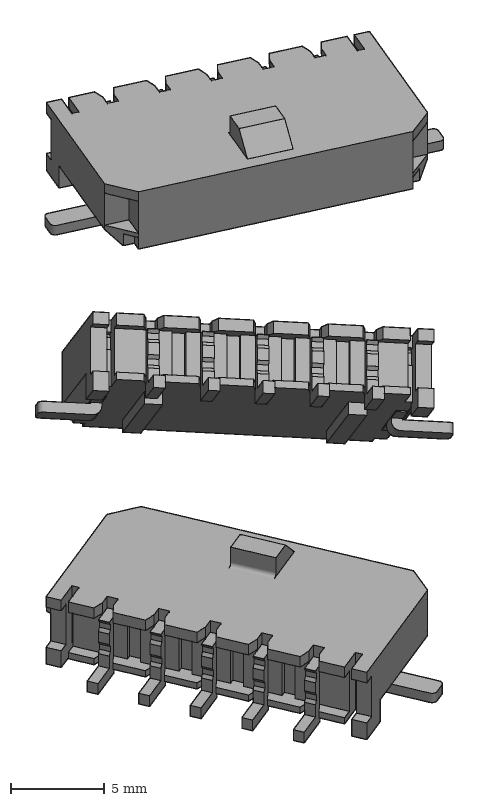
import cadquery as cq


overall_length_x = 11.35
rear_x = 1.5
front_x = overall_length_x
half_width = 9.3
bottom_z = 0.75
top_z = 4.45
corner_cut = 1.4
corner_x = front_x - corner_cut
corner_y = half_width - corner_cut

recess_floor_x = 2.15
lip_top_z = 1.15
roof_bottom_z = 3.75

foot_front_x = 3.35
foot_inner_y = 8.43
foot_bottom_z = 0.07
bevel = 0.75

side_step_bottom_z = 1.77
side_step_top_z = 3.83
lower_step_x = 10.74

slot_inner_y = 8.02
slot_end_x = 3.0
slot_step_z = 2.79
slot_step = 0.23

contact_count = 5
contact_pitch = 3.0
contact_width = 0.63
tail_height = 0.7
tail_end_x = 2.22
contact_rear_x = 1.56
contact_neck_x = 1.7
contact_front_x = 2.79
contact_top_z = 3.7
neck_top_zs = (3.47, 2.04)
neck_height = 0.35
neck_ramp = 0.2
notch_mouth_width = 1.09
notch_throat_x = 2.15

groove_width = 0.75
groove_depth = 0.32

latch_rear_x = 8.02
latch_crest_x = 9.33
latch_toe_x = 10.55
latch_width = 2.63
latch_top_z = 5.65
latch_root_radius = 0.23

rail_rear_x = 3.65
rail_front_x = 9.65
rail_inner_y = 5.07
rail_width = 1.0

nail_tip_y = 11.32
nail_rear_x = 6.14
nail_width = 1.27
nail_thickness = 0.61
nail_inner_y = 7.9
nail_bend_radius = 0.5
nail_tip_radius = 0.3
pad_rear_x = 4.8
pad_front_x = 8.75
pad_bottom_z = 0.68

ENDS = (-1, 1)


def box(x_range, y_range, z_range):
    """Block spanning three (start, end) ranges, given in any order."""
    lows = [min(r) for r in (x_range, y_range, z_range)]
    sizes = [abs(r[1] - r[0]) for r in (x_range, y_range, z_range)]
    return cq.Workplane("XY").box(*sizes, centered=False).translate(tuple(lows))


def side_profile(points, width, y_center):
    """Extrude an X-Z outline by a width centred on y_center."""
    outline = cq.Workplane("XZ", origin=(0, y_center, 0)).polyline(points).close()
    return outline.extrude(width / 2, both=True)


def end_range(end, inner_y, outer_y):
    return (end * inner_y, end * outer_y)


def housing_body():
    outline = [
        (rear_x, -half_width),
        (corner_x, -half_width),
        (front_x, -corner_y),
        (front_x, corner_y),
        (corner_x, half_width),
        (rear_x, half_width),
    ]
    body = cq.Workplane("XY").polyline(outline).close().extrude(top_z).cut(
        box((rear_x, front_x), (-half_width, half_width), (0, bottom_z))
    )
    recess = box(
        (rear_x, recess_floor_x), (-half_width, half_width), (lip_top_z, roof_bottom_z)
    )
    return body.cut(recess)


def side_bevel(end):
    """Wedge removed from the lower side edge ahead of the foot."""
    wedge = [
        (end * half_width, bottom_z),
        (end * (half_width - bevel), bottom_z),
        (end * half_width, bottom_z + bevel),
    ]
    plane = cq.Workplane("YZ", origin=(foot_front_x, 0, 0))
    return plane.polyline(wedge).close().extrude(front_x - foot_front_x)


def front_corner_steps(end):
    y_range = end_range(end, corner_y, half_width)
    side_step = box((corner_x, front_x), y_range, (side_step_bottom_z, side_step_top_z))
    lower_step = box((lower_step_x, front_x), y_range, (bottom_z, bottom_z + bevel))
    return side_step.union(lower_step)


def end_slot(end):
    """Slot beside a foot, through roof and lip, undercut below the roof."""
    profile = [
        (rear_x, bottom_z),
        (slot_end_x, bottom_z),
        (slot_end_x, slot_step_z),
        (slot_end_x + slot_step, slot_step_z),
        (slot_end_x + slot_step, roof_bottom_z - slot_step),
        (slot_end_x + 2 * slot_step, roof_bottom_z),
        (slot_end_x, roof_bottom_z),
        (slot_end_x, top_z),
        (rear_x, top_z),
    ]
    slot_center_y = end * (slot_inner_y + foot_inner_y) / 2
    return side_profile(profile, foot_inner_y - slot_inner_y, slot_center_y)


def contact_notch(y):
    """Funnel-mouthed slot through roof and lip around one contact."""
    mouth = notch_mouth_width / 2
    throat = contact_width / 2
    outline = [
        (rear_x, y - mouth),
        (notch_throat_x, y - throat),
        (contact_front_x, y - throat),
        (contact_front_x, y + throat),
        (notch_throat_x, y + throat),
        (rear_x, y + mouth),
    ]
    plane = cq.Workplane("XY", origin=(0, 0, bottom_z))
    return plane.polyline(outline).close().extrude(top_z - bottom_z)


def contact(y):
    """Solder tail and upright leg with two shallow necks in its rear face."""
    profile = [
        (0, 0),
        (tail_end_x, 0),
        (tail_end_x, bottom_z),
        (contact_front_x, bottom_z),
        (contact_front_x, contact_top_z),
        (contact_rear_x, contact_top_z),
    ]
    for neck_top_z in neck_top_zs:
        neck_bottom_z = neck_top_z - neck_height
        profile += [
            (contact_rear_x, neck_top_z + neck_ramp),
            (contact_neck_x, neck_top_z),
            (contact_neck_x, neck_bottom_z),
            (contact_rear_x, neck_bottom_z - neck_ramp),
        ]
    profile += [(contact_rear_x, tail_height), (0, tail_height)]
    return side_profile(profile, contact_width, y)


def groove(y):
    return box(
        (recess_floor_x, recess_floor_x + groove_depth),
        (y - groove_width / 2, y + groove_width / 2),
        (lip_top_z, roof_bottom_z),
    )


def latch():
    """Ramp with an upright rear face and a concave round at its root."""
    profile = (
        cq.Workplane("XZ")
        .moveTo(latch_toe_x, top_z)
        .lineTo(latch_crest_x, latch_top_z)
        .lineTo(latch_rear_x, latch_top_z)
        .lineTo(latch_rear_x, top_z + latch_root_radius)
        .radiusArc((latch_rear_x - latch_root_radius, top_z), latch_root_radius)
        .close()
    )
    return profile.extrude(latch_width / 2, both=True)


def rail(end):
    y_range = end_range(end, rail_inner_y, rail_inner_y + rail_width)
    return box((rail_rear_x, rail_front_x), y_range, (foot_bottom_z, bottom_z))


def foot(end):
    y_range = end_range(end, foot_inner_y, half_width)
    return box((rear_x, foot_front_x), y_range, (foot_bottom_z, bottom_z))


def fitting_nail(end):
    """Flat tab bent up into the housing, with its pad."""
    nail_x = (nail_rear_x, nail_rear_x + nail_width)
    tab = box(nail_x, end_range(end, nail_inner_y, nail_tip_y), (0, nail_thickness))
    tip_side = ">Y" if end > 0 else "<Y"
    tab = tab.faces(tip_side).edges("|Z").fillet(nail_tip_radius)
    bend_side = "<Y" if end > 0 else ">Y"
    tab = tab.faces(bend_side).edges("<Z").fillet(nail_bend_radius)
    stem_y = end_range(end, nail_inner_y, nail_inner_y + nail_thickness)
    stem = box(nail_x, stem_y, (nail_thickness, bottom_z))
    pad_y = end_range(end, nail_inner_y, half_width - bevel)
    pad = box((pad_rear_x, pad_front_x), pad_y, (pad_bottom_z, bottom_z))
    return tab.union(stem).union(pad)


first_contact_y = -(contact_count - 1) * contact_pitch / 2
contact_ys = [first_contact_y + i * contact_pitch for i in range(contact_count)]

result = housing_body()
for end in ENDS:
    result = result.cut(side_bevel(end)).cut(front_corner_steps(end)).cut(end_slot(end))
for y in contact_ys[:-1]:
    result = result.cut(groove(y + contact_pitch / 2))
for y in contact_ys:
    result = result.cut(contact_notch(y)).union(contact(y))
for end in ENDS:
    result = result.union(foot(end)).union(rail(end)).union(fitting_nail(end))
result = result.union(latch())